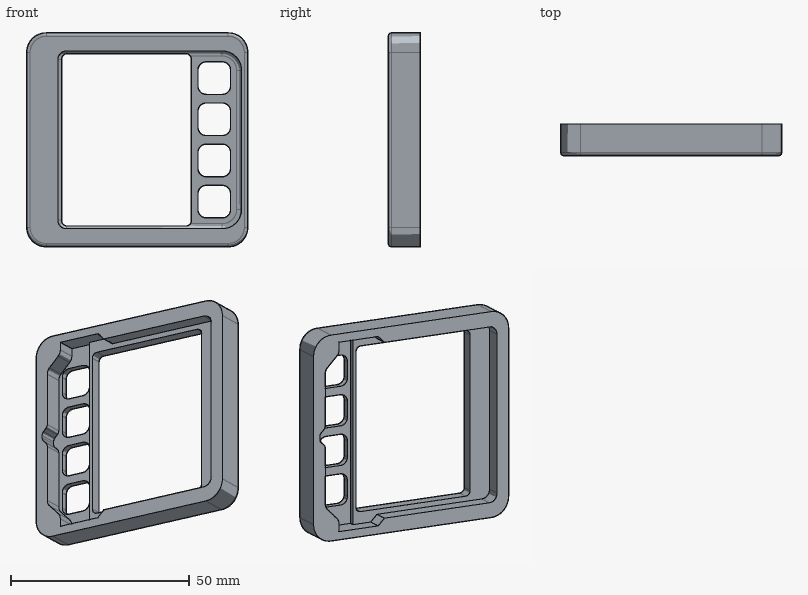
import cadquery as cq

width = 62.0
height = 60.0
depth = 9.0
corner_radius = 5.5
front_edge_radius = 1.0

recess_left = -22.3
recess_right = 29.3
recess_height = 50.0
recess_depth = 1.0
recess_left_radius = 2.5
recess_right_radius = 5.5
recess_floor_radius = 1.5
recess_overshoot = 2.5

window_left = -21.15
window_right = 15.1
window_height = 48.25
window_radius = 1.5

button_size = 9.05
button_pitch = 11.55
button_count = 4
button_radius = 2.25
button_x = 21.6

cavity_floor = 4.5
button_panel_thickness = 2.05
button_panel_back = recess_depth + button_panel_thickness
rib_thickness = 1.0
cavity_half_width = 27.3
cavity_half_height = 25.6
cavity_corner_radius = 2.5

relief_depth = 2.0
long_relief_start = 8.5
block_left = 22.95
block_slope_start = 24.3
block_radius = 2.5
side_relief_depth = 1.75
side_relief_z = 0.55
side_relief_width = 5.35
relief_radius = 1.5
selection_margin = 0.3


def prism(outline, y_start, y_end):
    """Extrude an XZ outline from y_start to y_end."""
    return outline.extrude(y_start - y_end).translate((0, y_start, 0))


def block(left, right, block_height, y_start, y_end):
    """Box centred on Z = 0 between two X and two Y positions."""
    outline = cq.Workplane("XZ").center((left + right) / 2, 0).rect(right - left, block_height)
    return prism(outline, y_start, y_end)


def make_frame():
    frame = block(-width / 2, width / 2, height, 0, depth)
    frame = frame.edges("|Y").fillet(corner_radius)
    return frame.faces("<Y").edges().fillet(front_edge_radius)


def make_recess():
    recess = block(recess_left, recess_right, recess_height, -recess_overshoot, recess_depth)
    recess = recess.edges("|Y and <X").fillet(recess_left_radius)
    recess = recess.edges("|Y and >X").fillet(recess_right_radius)
    return recess.faces(">Y").edges().fillet(recess_floor_radius)


def make_window():
    window = block(window_left, window_right, window_height, 0, depth)
    return window.edges("|Y").fillet(window_radius)


def make_buttons():
    buttons = cq.Workplane("XZ").rarray(0.6, button_pitch, 1, button_count).rect(button_size, button_size)
    buttons = prism(buttons, 0, depth).edges("|Y").fillet(button_radius)
    return buttons.translate((button_x, 0, 0))


def near(x, z_limit):
    """Selector for edges close to a given X and no farther than z_limit from Z = 0."""
    z_reach = z_limit + selection_margin
    low_corner = (x - selection_margin, 0, -z_reach)
    high_corner = (x + selection_margin, depth, z_reach)
    return cq.selectors.BoxSelector(low_corner, high_corner)


def make_cavity(y_start):
    """Cavity with 45 degree steps in its walls, from y_start to the open back."""
    long_relief_z = cavity_half_height + relief_depth
    slope_end = block_slope_start - (cavity_half_width - block_left)
    lower = [
        (-cavity_half_width, -cavity_half_height),
        (long_relief_start, -cavity_half_height),
        (long_relief_start + relief_depth, -long_relief_z),
        (block_left, -long_relief_z),
        (block_left, -block_slope_start),
        (cavity_half_width, -slope_end),
    ]
    upper = [(x, -z) for x, z in reversed(lower)]

    side_relief_x = cavity_half_width + side_relief_depth
    half = side_relief_width / 2
    inner_half = half - side_relief_depth
    side_relief = [
        (cavity_half_width, side_relief_z - half),
        (side_relief_x, side_relief_z - inner_half),
        (side_relief_x, side_relief_z + inner_half),
        (cavity_half_width, side_relief_z + half),
    ]

    outline = cq.Workplane("XZ").polyline(lower + side_relief + upper).close()
    cavity = prism(outline, y_start, depth)
    cavity = cavity.edges("|Y").edges(near(-cavity_half_width, height)).fillet(cavity_corner_radius)
    cavity = cavity.edges("|Y").edges(near(side_relief_x, half)).fillet(relief_radius)
    cavity = cavity.edges("|Y").edges(near(cavity_half_width, side_relief_width)).fillet(relief_radius)
    slope_edges = cavity.edges("|Y").edges(near(cavity_half_width, slope_end))
    cavity = slope_edges.edges(">Z or <Z").fillet(block_radius)
    return cavity.edges("|Y").edges(near(block_left, block_slope_start)).fillet(block_radius)


def make_button_pocket():
    pocket_left = window_right + rib_thickness
    button_side = block(pocket_left, width / 2, height, button_panel_back, depth)
    return make_cavity(button_panel_back).intersect(button_side)


result = (
    make_frame()
    .cut(make_recess())
    .cut(make_window())
    .cut(make_buttons())
    .cut(make_cavity(cavity_floor))
    .cut(make_button_pocket())
)